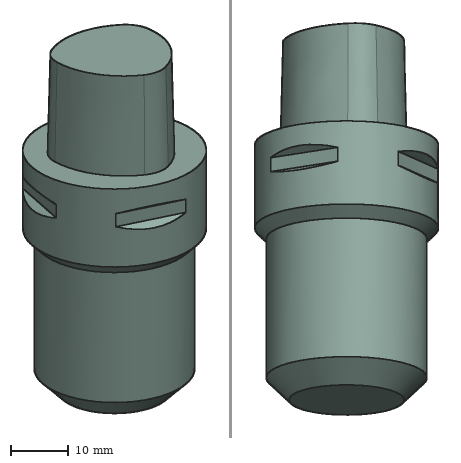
import cadquery as cq
import math

flange_top = 46.0
shank_length = 19.0
flange_height = 15.0
flange_chamfer = 2.0
nose_chamfer = 4.0

flange_diameter = 32.0
barrel_diameter = 28.0

lobe_tip_distance = 11.78
flank_middle_distance = 10.38
lobe_radius = 6.0
lobe_angles = (90, 210, 330)
half_pitch = 60
shank_slope = 1 / 40
shank_taper = math.degrees(math.atan(shank_slope))

notch_angles = (45, 135, 225, 315)
notch_floor_distance = 14.5
notch_level = 40.0
notch_floor_height = 2.5
notch_wall_angle = 32


def polar(radius, angle):
    return (radius * math.cos(math.radians(angle)), radius * math.sin(math.radians(angle)))


def half_lobe_sweep():
    """Angle from a lobe tip, about the lobe centre, to where the lobe runs tangentially into a flank."""
    lobe_centre = lobe_tip_distance - lobe_radius
    across = lobe_centre * math.sin(math.radians(half_pitch))
    along = lobe_centre * math.cos(math.radians(half_pitch))
    radius_step = flank_middle_distance - lobe_radius
    flank_centre = (lobe_centre**2 - radius_step**2) / (2 * (radius_step - along))
    return half_pitch - math.degrees(math.atan2(across, flank_centre + along))


def lobe_point(lobe_angle, sweep):
    """Point on a lobe, turned by sweep about the lobe centre from the lobe tip."""
    centre_x, centre_y = polar(lobe_tip_distance - lobe_radius, lobe_angle)
    offset_x, offset_y = polar(lobe_radius, lobe_angle + sweep)
    return (centre_x + offset_x, centre_y + offset_y)


def make_shank():
    sweep = half_lobe_sweep()
    outline = cq.Workplane("XY", origin=(0, 0, flange_top))
    outline = outline.moveTo(*lobe_point(lobe_angles[0], -sweep))
    for angle in lobe_angles:
        outline = outline.threePointArc(lobe_point(angle, 0), lobe_point(angle, sweep))
        flank_middle = polar(flank_middle_distance, angle + half_pitch)
        outline = outline.threePointArc(flank_middle, lobe_point(angle + 2 * half_pitch, -sweep))
    return outline.close().extrude(shank_length, taper=shank_taper)


def make_turned_body():
    flange_radius = flange_diameter / 2
    barrel_radius = barrel_diameter / 2
    flange_bottom = flange_top - flange_height
    return (
        cq.Workplane("XZ")
        .moveTo(0, 0)
        .lineTo(barrel_radius - nose_chamfer, 0)
        .lineTo(barrel_radius, nose_chamfer)
        .lineTo(barrel_radius, flange_bottom - flange_chamfer)
        .lineTo(flange_radius, flange_bottom)
        .lineTo(flange_radius, flange_top)
        .lineTo(0, flange_top)
        .close()
        .revolve(360, (0, 0, 0), (0, 1, 0))
    )


def make_notch(angle):
    """Cutter whose inner face is the notch floor and whose upper and lower walls flare outward."""
    flange_radius = flange_diameter / 2
    depth = flange_radius - notch_floor_distance
    floor_half = notch_floor_height / 2
    mouth_half = floor_half + depth * math.tan(math.radians(notch_wall_angle))
    return (
        cq.Workplane("XZ", origin=(0, flange_radius, 0))
        .polyline([
            (notch_floor_distance, notch_level - floor_half),
            (flange_radius, notch_level - mouth_half),
            (flange_radius, notch_level + mouth_half),
            (notch_floor_distance, notch_level + floor_half),
        ])
        .close()
        .extrude(flange_diameter)
        .rotate((0, 0, 0), (0, 0, 1), angle)
    )


holder = make_turned_body().union(make_shank())
for notch_angle in notch_angles:
    holder = holder.cut(make_notch(notch_angle))

result = cq.Compound.makeCompound([holder.val()])